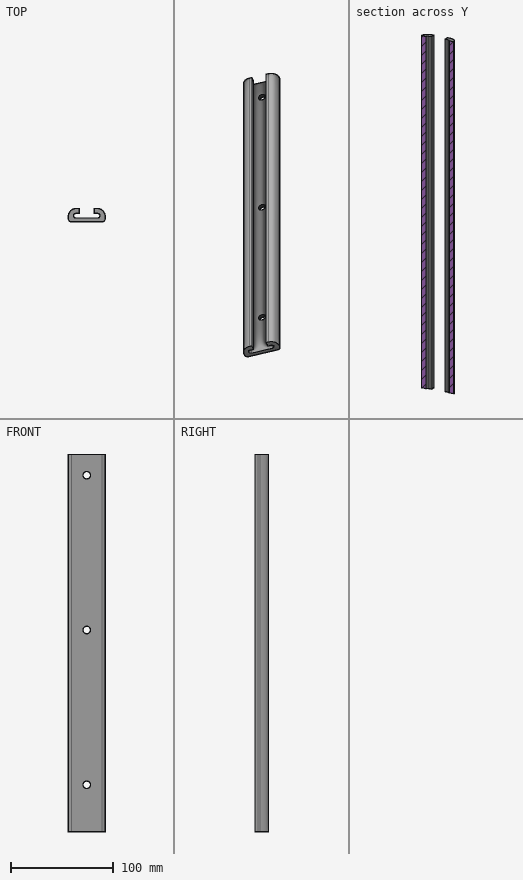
import cadquery as cq

width = 36.16
depth = 13.26
length = 367.37

back_corner_radius = 3.2
lip_corner_radius = 8.2
back_thickness = 3.8
lip_thickness = 5.1
side_thickness = 5.3
mouth_width = 14.5

channel_width = width - 2 * side_thickness
channel_depth = depth - back_thickness - lip_thickness
back_y = -depth / 2
channel_y = back_y + back_thickness + channel_depth / 2

hole_diameter = 7.1
hole_count = 3
hole_pitch = 150.65
top_hole_offset = 20.3


def rail_body():
    """Solid bar with small radii along the back and large radii along the lips."""
    bar = cq.Workplane("XY").rect(width, depth).extrude(length)
    bar = bar.edges("|Z and <Y").fillet(back_corner_radius)
    return bar.faces(">Y").edges("|Z").fillet(lip_corner_radius)


def channel():
    """Round-sided channel running the full length of the rail."""
    return cq.Workplane("XY").center(0, channel_y).slot2D(channel_width, channel_depth).extrude(length)


def mouth():
    """Opening between the two lips, from the middle of the channel out to the front."""
    mouth_depth = depth / 2 - channel_y
    return (
        cq.Workplane("XY")
        .center(0, channel_y + mouth_depth / 2)
        .rect(mouth_width, mouth_depth)
        .extrude(length)
    )


def mounting_holes():
    """Cylinders through the back, spaced evenly down from the top end."""
    hole_points = [(0, length - top_hole_offset - i * hole_pitch) for i in range(hole_count)]
    return (
        cq.Workplane("XZ", origin=(0, back_y, 0))
        .pushPoints(hole_points)
        .circle(hole_diameter / 2)
        .extrude(-depth)
    )


result = rail_body().cut(channel()).cut(mouth()).cut(mounting_holes())